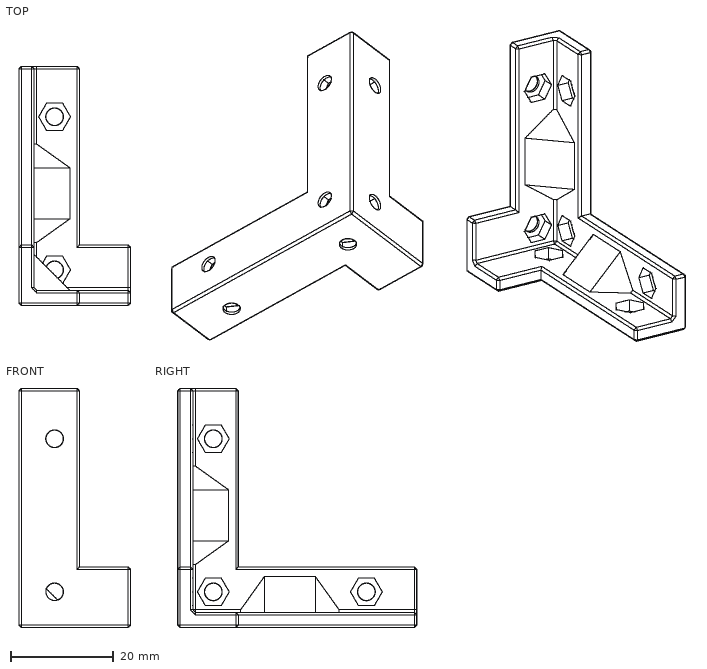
import cadquery as cq
import math

wall = 3.0
pitch = 10.0
end_clearance = 0.1
hole_near = 7.0
hole_spacing = 3 * pitch
hole_far = hole_near + hole_spacing
leg_width = hole_near + pitch / 2 - end_clearance
long_leg = hole_far + pitch - end_clearance
short_leg = leg_width + pitch
edge_chamfer = 0.5

screw_diameter = 3.4
nut_sides = 6
nut_across_flats = 5.4
nut_depth = 2.4
corners_along_v = 0
corners_along_u = 90

gusset_leg = 7.0
gusset_flat_length = pitch
gusset_base_length = 2 * pitch
gusset_center = (hole_near + hole_far) / 2

base_plane = cq.Plane(origin=(0, 0, 0), xDir=(1, 0, 0), normal=(0, 0, 1))
side_plane = cq.Plane(origin=(0, 0, 0), xDir=(0, 1, 0), normal=(1, 0, 0))
front_plane = cq.Plane(origin=(0, 0, 0), xDir=(0, 0, 1), normal=(0, 1, 0))


def l_wall(plane, length_u, length_v):
    """L-shaped wall with its two legs along the local axes of the plane."""
    return (
        cq.Workplane(plane)
        .moveTo(0, 0)
        .lineTo(length_u, 0)
        .lineTo(length_u, leg_width)
        .lineTo(leg_width, leg_width)
        .lineTo(leg_width, length_v)
        .lineTo(0, length_v)
        .close()
        .extrude(wall)
    )


def is_leg_notch(edge):
    """True for the short edges through a wall at the inside of its L shape."""
    center = edge.Center().toTuple()
    coordinates_on_notch = [value for value in center if math.isclose(value, leg_width)]
    return len(coordinates_on_notch) == 2


def chamfered_walls():
    """Three mutually square walls, all edges chamfered except the notches of the L shapes."""
    walls = (
        l_wall(base_plane, short_leg, long_leg)
        .union(l_wall(side_plane, long_leg, long_leg))
        .union(l_wall(front_plane, long_leg, short_leg))
        .clean()
    )
    chamfer_edges = [edge for edge in walls.edges().vals() if not is_leg_notch(edge)]
    return walls.newObject(chamfer_edges).chamfer(edge_chamfer)


def gusset(long_axis):
    """Triangular rib with sloping ends, along Y or Z in an inner corner of the side wall."""
    flat_start = gusset_center - gusset_flat_length / 2
    flat_end = gusset_center + gusset_flat_length / 2
    base_start = gusset_center - gusset_base_length / 2
    base_end = gusset_center + gusset_base_length / 2
    tip = wall + gusset_leg

    def place(x, across, along):
        if long_axis == "Y":
            return cq.Vector(x, along, across)
        return cq.Vector(x, across, along)

    start_corner = place(wall, wall, base_start)
    end_corner = place(wall, wall, base_end)
    start_x_tip = place(tip, wall, flat_start)
    end_x_tip = place(tip, wall, flat_end)
    start_far_tip = place(wall, tip, flat_start)
    end_far_tip = place(wall, tip, flat_end)
    outlines = [
        [start_corner, start_x_tip, end_x_tip, end_corner],
        [start_corner, start_far_tip, end_far_tip, end_corner],
        [start_x_tip, end_x_tip, end_far_tip, start_far_tip],
        [start_corner, start_x_tip, start_far_tip],
        [end_corner, end_x_tip, end_far_tip],
    ]
    faces = [cq.Face.makeFromWires(cq.Wire.makePolygon(points, close=True)) for points in outlines]
    return cq.Workplane(cq.Solid.makeSolid(cq.Shell.makeShell(faces)))


def screw_holes(plane, points, nut_turn):
    """Cutters for the screw holes and the hexagonal nut pockets of one wall."""
    nut_across_corners = nut_across_flats / math.cos(math.pi / nut_sides)
    screws = cq.Workplane(plane).pushPoints(points).circle(screw_diameter / 2).extrude(wall)
    nut_sketch = cq.Sketch().regularPolygon(nut_across_corners / 2, nut_sides, angle=nut_turn)
    nuts = (
        cq.Workplane(plane)
        .workplane(offset=wall - nut_depth)
        .pushPoints(points)
        .placeSketch(nut_sketch)
        .extrude(nut_depth)
    )
    return screws.union(nuts)


corner_hole = (hole_near, hole_near)
u_end_hole = (hole_far, hole_near)
v_end_hole = (hole_near, hole_far)

result = (
    chamfered_walls()
    .union(gusset("Y"))
    .union(gusset("Z"))
    .cut(screw_holes(base_plane, [corner_hole, v_end_hole], corners_along_u))
    .cut(screw_holes(side_plane, [corner_hole, u_end_hole, v_end_hole], corners_along_u))
    .cut(screw_holes(front_plane, [corner_hole, u_end_hole], corners_along_v))
)